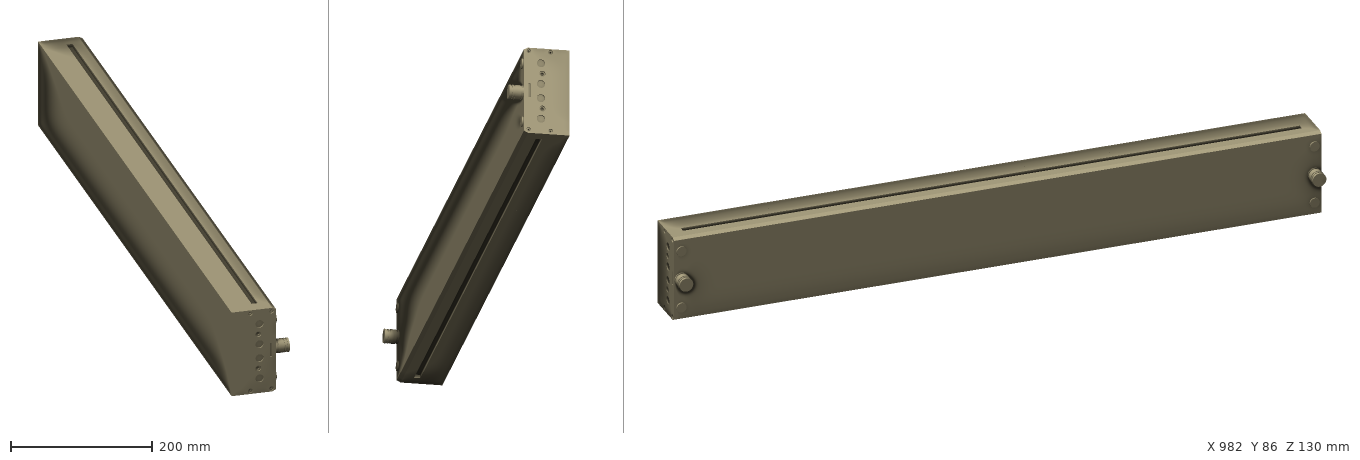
import cadquery as cq

LENGTH = 982.0
HEIGHT = 130.0
COVER_DEPTH = 21.0
HOUSING_BACK = 66.0
TOTAL_DEPTH = 86.0
CAP_WIDTH = 22.0

BEVEL_DEPTH = 6.0
BEVEL_DROP = 3.0

GROOVE_WIDTH = 9.0
GROOVE_DEPTH = 5.0
GROOVE_Y = 40.0

LARGE_HOLE_Y = 41.0
LARGE_HOLE_DIAMETER = 12.0
LARGE_HOLE_HEIGHTS = [11.0, 42.0]
SMALL_HOLE_Y = 39.0
SMALL_HOLE_DIAMETER = 9.0
SMALL_BORE_DIAMETER = 5.0
SMALL_HOLE_HEIGHT = 27.0
HOLE_DEPTH = 2.0
BORE_DEPTH = 5.0

SCREW_DIAMETER = 7.0
SCREW_BORE_DIAMETER = 3.0
SCREW_INSET_Y = 7.0
SCREW_INSET_Z = 5.0

SLOT_Y = 58.0
SLOT_WIDTH = 3.0
SLOT_HEIGHT = 21.0
SLOT_DEPTH = 2.0

FOOT_DIAMETER = 15.0
FOOT_HEIGHT = 2.0
FOOT_Z = 44.0

CONNECTOR_DIAMETER = 21.0
RING_GROOVE_STARTS = [68.0, 78.0, 81.5]
RING_GROOVE_WIDTH = 2.0
RING_GROOVE_DEPTH = 1.0

CAP_CENTRE_X = CAP_WIDTH / 2
HALF_HEIGHT = HEIGHT / 2


def housing_section(x_start, length):
    """Housing cross-section with bevelled rear edges, extruded along X."""
    bevel_y = HOUSING_BACK - BEVEL_DEPTH
    rear_z = HALF_HEIGHT - BEVEL_DROP
    return (
        cq.Workplane("YZ", origin=(x_start, 0, 0))
        .moveTo(COVER_DEPTH, -HALF_HEIGHT)
        .lineTo(bevel_y, -HALF_HEIGHT)
        .lineTo(HOUSING_BACK, -rear_z)
        .lineTo(HOUSING_BACK, rear_z)
        .lineTo(bevel_y, HALF_HEIGHT)
        .lineTo(COVER_DEPTH, HALF_HEIGHT)
        .close()
        .extrude(length)
    )


def make_cover():
    return cq.Workplane("XY").box(LENGTH, COVER_DEPTH, HEIGHT, centered=(False, False, True))


def make_profile():
    length = LENGTH - 2 * CAP_WIDTH
    profile = housing_section(CAP_WIDTH, length)
    for side in (1, -1):
        groove = cq.Workplane("XY").box(length, GROOVE_WIDTH, 2 * GROOVE_DEPTH)
        profile = profile.cut(groove.translate((LENGTH / 2, GROOVE_Y, side * HALF_HEIGHT)))
    return profile


def end_holes(points, diameter, depth):
    """Blind holes drilled into the end face at x = 0."""
    return cq.Workplane("YZ").pushPoints(points).circle(diameter / 2).extrude(depth)


def rear_disc(z, diameter, y_start, y_end):
    """Round disc about the Y direction, centred on the cap's width."""
    return (
        cq.Workplane("XZ", origin=(CAP_CENTRE_X, y_start, z))
        .circle(diameter / 2)
        .extrude(y_start - y_end)
    )


def make_connector():
    connector = rear_disc(0, CONNECTOR_DIAMETER, HOUSING_BACK, TOTAL_DEPTH)
    core_diameter = CONNECTOR_DIAMETER - 2 * RING_GROOVE_DEPTH
    for start in RING_GROOVE_STARTS:
        end = start + RING_GROOVE_WIDTH
        core = rear_disc(0, core_diameter, start, end)
        ring = rear_disc(0, CONNECTOR_DIAMETER, start, end).cut(core)
        connector = connector.cut(ring)
    return connector


def make_cap():
    cap = housing_section(0, CAP_WIDTH)
    large = [(LARGE_HOLE_Y, side * z) for z in LARGE_HOLE_HEIGHTS for side in (1, -1)]
    small = [(SMALL_HOLE_Y, side * SMALL_HOLE_HEIGHT) for side in (1, -1)]
    screw_z = HALF_HEIGHT - SCREW_INSET_Z
    screw_ys = (COVER_DEPTH + SCREW_INSET_Y, HOUSING_BACK - SCREW_INSET_Y)
    screws = [(y, side * screw_z) for y in screw_ys for side in (1, -1)]
    cap = cap.cut(end_holes(large, LARGE_HOLE_DIAMETER, HOLE_DEPTH))
    cap = cap.cut(end_holes(small, SMALL_HOLE_DIAMETER, HOLE_DEPTH))
    cap = cap.cut(end_holes(screws, SCREW_DIAMETER, HOLE_DEPTH))
    cap = cap.cut(end_holes(small, SMALL_BORE_DIAMETER, BORE_DEPTH))
    cap = cap.cut(end_holes(screws, SCREW_BORE_DIAMETER, BORE_DEPTH))
    slot = cq.Workplane("XY").box(2 * SLOT_DEPTH, SLOT_WIDTH, SLOT_HEIGHT)
    cap = cap.cut(slot.translate((0, SLOT_Y, 0)))
    for side in (1, -1):
        cap = cap.union(rear_disc(side * FOOT_Z, FOOT_DIAMETER, HOUSING_BACK, HOUSING_BACK + FOOT_HEIGHT))
    return cap.union(make_connector())


cover = make_cover()
profile = make_profile()
left_cap = make_cap()
right_cap = left_cap.mirror("YZ", (LENGTH / 2, 0, 0))

result = cq.Compound.makeCompound([cover.val(), profile.val(), left_cap.val(), right_cap.val()])